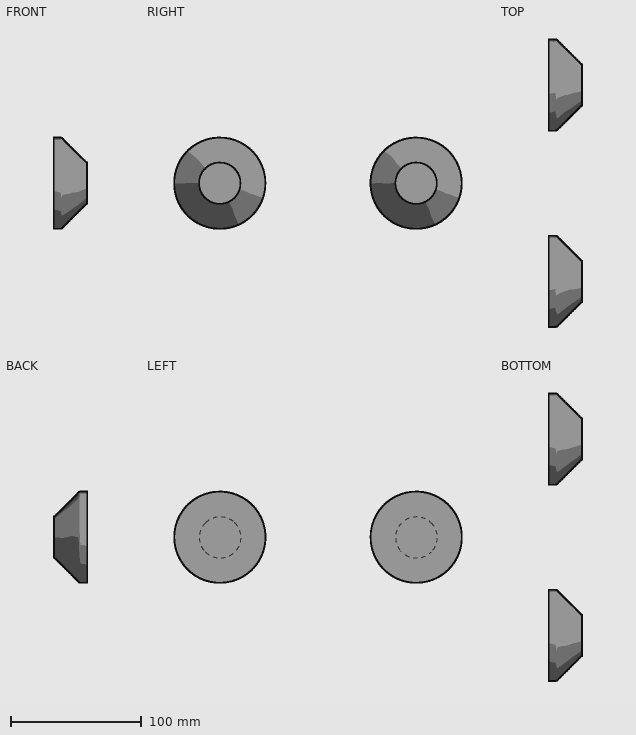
import cadquery as cq
import math

SPAN = 220.0
KNOB_DIAMETER = 70.0
KNOB_LENGTH = 26.0

RIM_WIDTH = 5.3
SHOULDER_RADIUS = 2.0
TIP_DIAMETER = 31.7
TIP_WIDTH = 0.7

rim_radius = KNOB_DIAMETER / 2
tip_radius = TIP_DIAMETER / 2
cone_end = KNOB_LENGTH - TIP_WIDTH
knob_offset = (SPAN - KNOB_DIAMETER) / 2

arc_center_radius = rim_radius - SHOULDER_RADIUS
run = cone_end - RIM_WIDTH
drop = arc_center_radius - tip_radius
normal_angle = math.atan2(drop, run) + math.asin(SHOULDER_RADIUS / math.hypot(run, drop))


def shoulder_point(angle):
    """Point of the shoulder arc, with the angle measured from the radial direction."""
    return (
        RIM_WIDTH + SHOULDER_RADIUS * math.sin(angle),
        arc_center_radius + SHOULDER_RADIUS * math.cos(angle),
    )


def make_knob(y_center):
    """Solid conical knob revolved about an axis along X, with its flat face at X = 0."""
    profile = (
        cq.Workplane("XY")
        .moveTo(0, 0)
        .lineTo(0, rim_radius)
        .lineTo(RIM_WIDTH, rim_radius)
        .threePointArc(shoulder_point(normal_angle / 2), shoulder_point(normal_angle))
        .lineTo(cone_end, tip_radius)
        .lineTo(KNOB_LENGTH, tip_radius)
        .lineTo(KNOB_LENGTH, 0)
        .close()
    )
    return profile.revolve(360, (0, 0, 0), (1, 0, 0)).translate((0, y_center, 0))


knobs = [make_knob(side * knob_offset) for side in (-1, 1)]

result = cq.Compound.makeCompound([knob.val() for knob in knobs])